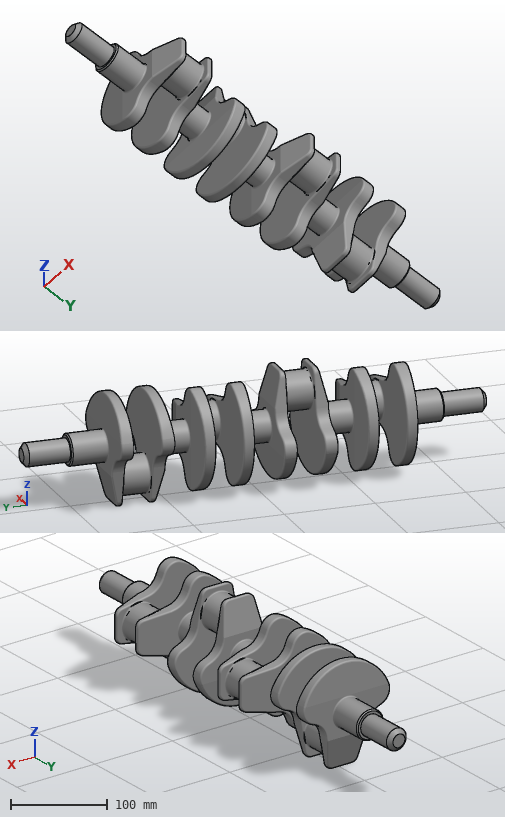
import cadquery as cq
import math

shaft_length = 510
aligned_throw_pitch = 180.0
throw_pitch = aligned_throw_pitch / 2
throw_angles = [0, 90, 0, -90]

stub_radius = 13.0
stub_end_radius = 7.5
stub_chamfer_length = 4.5
journal_radius = 17.5
journal_end_y = 205.5
journal_chamfer = 1.5
pin_diameter = 42.5
pin_radius = pin_diameter / 2
pin_offset = 35.0
root_fillet = 1.5
arc_middle = root_fillet * (1 - math.sqrt(0.5))

web_gap = 30.5
web_thickness = 14.5
tip_thickness = 5.5
heel_thickness = 11.5
arm_taper_start = 26.5
heel_taper_start = -19.0

tip_reach = 127.0 / 2
tip_half_width = 19.0
tip_corner_radius = 8.0
arm_half_width = 25.5
arm_root_radius = 23.0
shoulder_radius = 16.5
link_length = 6.0
heel_radius = 58.5
heel_center = 2.3
edge_fillet = 2.0

inner_face = web_gap / 2
outer_face = inner_face + web_thickness
heel_reach = heel_radius - heel_center
throw_count = len(throw_angles)
throw_centers = [throw_pitch * (i - (throw_count - 1) / 2) for i in range(throw_count)]
end_web_face = throw_centers[-1] + outer_face


def web_plate(front, back):
    """Flat plate between two Y positions: round heel, shoulder and root arcs, tapered arm."""
    heel_end_u = heel_taper_start - heel_center
    heel_end_w = math.sqrt(heel_radius**2 - heel_end_u**2)
    inward = 1 - shoulder_radius / heel_radius
    shoulder_center_u = heel_center + heel_end_u * inward
    shoulder_center_w = heel_end_w * inward

    side_angle = math.atan2(arm_half_width - tip_half_width, tip_reach - arm_taper_start)
    side_u = math.sin(side_angle)
    side_w = math.cos(side_angle)
    radii_sum = shoulder_radius + arm_root_radius
    centers_apart = math.hypot(radii_sum, link_length)
    gap_u = tip_reach + arm_root_radius * side_u - shoulder_center_u
    gap_w = tip_half_width + arm_root_radius * side_w - shoulder_center_w
    across = gap_u * side_u + gap_w * side_w
    along = math.sqrt(centers_apart**2 - across**2)
    root_center_u = shoulder_center_u + across * side_u + along * side_w
    root_center_w = shoulder_center_w + across * side_w - along * side_u
    root_end_u = root_center_u - arm_root_radius * side_u
    root_end_w = root_center_w - arm_root_radius * side_w

    link_angle = math.atan2(root_center_w - shoulder_center_w, root_center_u - shoulder_center_u)
    link_angle += math.atan2(link_length, radii_sum)
    link_u = math.cos(link_angle)
    link_w = math.sin(link_angle)
    shoulder_end_u = shoulder_center_u + shoulder_radius * link_u
    shoulder_end_w = shoulder_center_w + shoulder_radius * link_w
    root_start_u = root_center_u - arm_root_radius * link_u
    root_start_w = root_center_w - arm_root_radius * link_w

    plate = (
        cq.Workplane("XZ", origin=(0, back, 0))
        .moveTo(tip_reach, -tip_half_width)
        .lineTo(tip_reach, tip_half_width)
        .lineTo(root_end_u, root_end_w)
        .tangentArcPoint((root_start_u, root_start_w), relative=False)
        .lineTo(shoulder_end_u, shoulder_end_w)
        .tangentArcPoint((heel_taper_start, heel_end_w), relative=False)
        .threePointArc((-heel_reach, 0), (heel_taper_start, -heel_end_w))
        .tangentArcPoint((shoulder_end_u, -shoulder_end_w), relative=False)
        .lineTo(root_start_u, -root_start_w)
        .tangentArcPoint((root_end_u, -root_end_w), relative=False)
        .close()
        .extrude(back - front)
    )
    return plate.edges("|Y and >X").fillet(tip_corner_radius)


def sloped_plate(start_u, end_u, end_thickness):
    """Plate with rounded edges; its back is one slope, down from full web thickness at start_u."""
    slope = (end_thickness - web_thickness) / (end_u - start_u)
    low_u = -2 * heel_reach
    high_u = 2 * tip_reach
    top_y = 2 * throw_pitch
    removed = (
        cq.Workplane("XY", origin=(0, 0, -throw_pitch))
        .moveTo(low_u, outer_face + slope * (low_u - start_u))
        .lineTo(high_u, outer_face + slope * (high_u - start_u))
        .lineTo(high_u, top_y)
        .lineTo(low_u, top_y)
        .close()
        .extrude(2 * throw_pitch)
    )
    return web_plate(0, throw_pitch).cut(removed).edges("not |Y").fillet(edge_fillet)


def web():
    """Web on the +Y side of a throw, thinned on its back toward the tip and the heel."""
    flat = web_plate(inner_face, outer_face).edges("not |Y").fillet(edge_fillet)
    arm_slope = sloped_plate(arm_taper_start, tip_reach, tip_thickness)
    heel_slope = sloped_plate(heel_taper_start, -heel_reach, heel_thickness)
    return flat.intersect(arm_slope).intersect(heel_slope)


def flared_cylinder(radius, start, end):
    """Cylinder along Y that flares by the root fillet where it meets a web at each end."""
    return (
        cq.Workplane("XY")
        .moveTo(0, start)
        .lineTo(radius + root_fillet, start)
        .threePointArc((radius + arc_middle, start + arc_middle), (radius, start + root_fillet))
        .lineTo(radius, end - root_fillet)
        .threePointArc((radius + arc_middle, end - arc_middle), (radius + root_fillet, end))
        .lineTo(0, end)
        .close()
        .revolve(360, (0, 0, 0), (0, 1, 0))
    )


def throw():
    """Crankpin between two mirrored webs, pointing toward +X and centred on Y = 0."""
    pin = flared_cylinder(pin_radius, -inner_face, inner_face).translate((pin_offset, 0, 0))
    rear_web = web()
    return pin.union(rear_web).union(rear_web.mirror("XZ"))


def end_shaft():
    """Outer journal and its slimmer stub, from the last web to the +Y end."""
    shaft_end = shaft_length / 2
    return (
        cq.Workplane("XY")
        .moveTo(0, end_web_face)
        .lineTo(journal_radius + root_fillet, end_web_face)
        .threePointArc(
            (journal_radius + arc_middle, end_web_face + arc_middle),
            (journal_radius, end_web_face + root_fillet),
        )
        .lineTo(journal_radius, journal_end_y - journal_chamfer)
        .lineTo(journal_radius - journal_chamfer, journal_end_y)
        .lineTo(stub_radius, journal_end_y)
        .lineTo(stub_radius, shaft_end - stub_chamfer_length)
        .lineTo(stub_end_radius, shaft_end)
        .lineTo(0, shaft_end)
        .close()
        .revolve(360, (0, 0, 0), (0, 1, 0))
    )


rear_end = end_shaft()
result = rear_end.union(rear_end.mirror("XZ"))

for center in throw_centers[:-1]:
    journal_start = center + outer_face
    journal_end = center + throw_pitch - outer_face
    result = result.union(flared_cylinder(journal_radius, journal_start, journal_end))

base_throw = throw()
for center, angle in zip(throw_centers, throw_angles):
    turned = base_throw.rotate((0, 0, 0), (0, 1, 0), -angle)
    result = result.union(turned.translate((0, center, 0)))